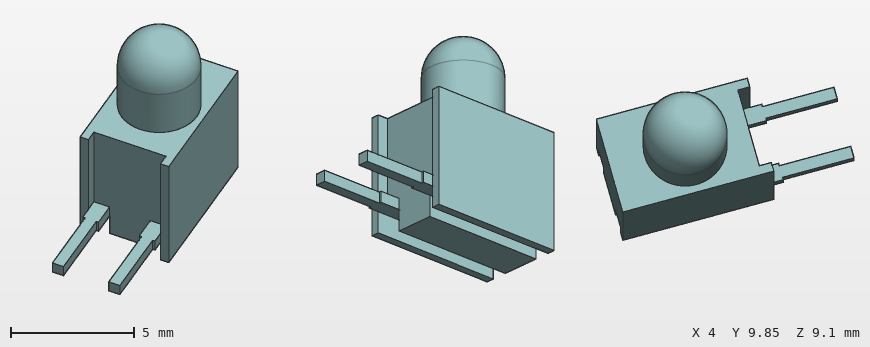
import cadquery as cq


housing_width = 4.0
housing_depth = 6.34
housing_height = 5.3
front_y = -housing_depth / 2
back_y = housing_depth / 2
recess_depth = 0.5

lens_diameter = 3.4
lens_radius = lens_diameter / 2
total_height = 9.1
barrel_height = total_height - housing_height - lens_radius

lead_spacing = 2.54
lead_width = 0.5
lead_thickness = 0.5
lead_bottom = 0.96
shoulder_width = 0.71
shoulder_reach = 0.5
total_depth = 9.85
lead_reach = total_depth - housing_depth

recess_width = lead_spacing + shoulder_width


def box_between(width, start_y, end_y, bottom, height):
    """Box centred on X = 0, spanning start_y to end_y, standing on Z = bottom."""
    box = cq.Workplane("XY").box(width, end_y - start_y, height, centered=(True, False, False))
    return box.translate((0, start_y, bottom))


def make_housing():
    """Block with a full-height front recess and a slot under each lead, open front to back."""
    block = box_between(housing_width, front_y, back_y, 0, housing_height)
    recess = box_between(recess_width, front_y, front_y + recess_depth, 0, housing_height)
    housing = block.cut(recess)
    slot = box_between(shoulder_width, front_y, back_y, 0, lead_bottom)
    for side in (-1, 1):
        housing = housing.cut(slot.translate((side * lead_spacing / 2, 0, 0)))
    return housing


def make_lens():
    """Round barrel with a hemispherical end, revolved about the vertical axis."""
    dome_base = housing_height + barrel_height
    diagonal = lens_radius * 0.5 ** 0.5
    return (
        cq.Workplane("XZ")
        .moveTo(0, housing_height)
        .lineTo(lens_radius, housing_height)
        .lineTo(lens_radius, dome_base)
        .threePointArc((diagonal, dome_base + diagonal), (0, total_height))
        .close()
        .revolve(360, (0, 0), (0, 1))
    )


def make_lead():
    """Lead with a wide shoulder that runs through the housing and a narrower pin in front."""
    shoulder_end = front_y - shoulder_reach
    shoulder = box_between(shoulder_width, shoulder_end, back_y, lead_bottom, lead_thickness)
    pin = box_between(lead_width, front_y - lead_reach, shoulder_end, lead_bottom, lead_thickness)
    return shoulder.union(pin)


result = make_housing().union(make_lens())
for side in (-1, 1):
    result = result.union(make_lead().translate((side * lead_spacing / 2, 0, 0)))
result = result.clean()